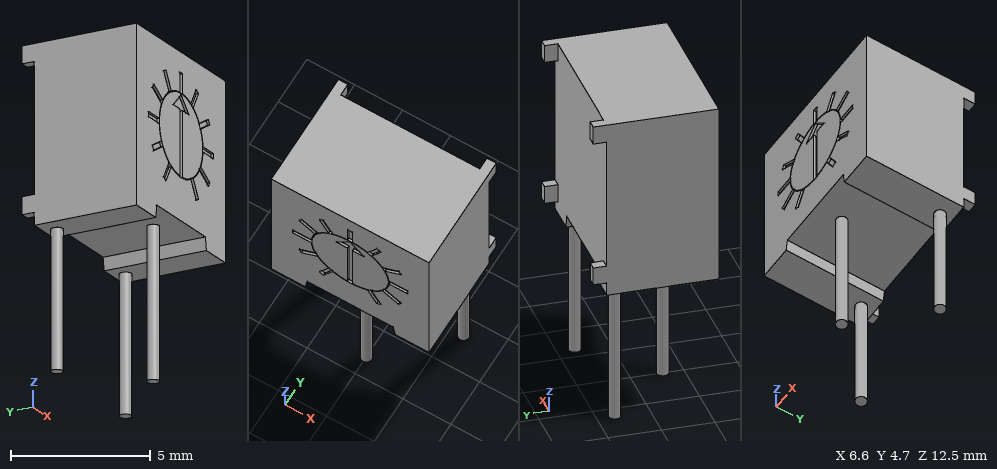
import cadquery as cq

BODY_WIDTH = 6.6
BODY_DEPTH = 4.2
BODY_HEIGHT = 7.0

NOTCH_HEIGHT = 0.5
NOTCH_BOTTOM_WIDTH = 3.75
NOTCH_TOP_WIDTH = 3.6

OVERALL_DEPTH = 4.7
TAB_LENGTH = OVERALL_DEPTH - BODY_DEPTH
TAB_WIDTH = 0.4
TAB_HEIGHT = 0.7
LOWER_TAB_BASE = 0.5

OVERALL_HEIGHT = 12.46
PIN_DIAMETER = 0.46
PIN_LENGTH = OVERALL_HEIGHT - BODY_HEIGHT
PIN_PITCH = 2.54
MIDDLE_PIN_Y = 1.14
OUTER_PIN_Y = MIDDLE_PIN_Y + PIN_PITCH
PIN_EMBED = 1.0

ROTOR_Z = 3.8
ROTOR_DIAMETER = 3.2
ROTOR_BORE_DIAMETER = 3.25
GAP_MIDDLE_RADIUS = (ROTOR_DIAMETER + ROTOR_BORE_DIAMETER) / 4
MARK_DEPTH = 0.1

ARROW_TIP = 1.55
ARROW_HEAD_BASE = 0.98
ARROW_HEAD_WIDTH = 1.16
ARROW_SHAFT_WIDTH = 0.2

TICK_STEP_ANGLE = 30
TICK_MAX_ANGLE = 150
TICK_OUTER_RADIUS = 2.4
TICK_WIDTH = 0.2


def face_plane():
    """Plane on the front face, centred on the rotor; extruding by a negative length goes inwards."""
    return cq.Workplane("XZ", origin=(0, 0, ROTOR_Z))


def make_housing():
    notch_bottom = NOTCH_BOTTOM_WIDTH / 2
    notch_top = NOTCH_TOP_WIDTH / 2
    outline = [
        (-BODY_WIDTH / 2, 0),
        (-notch_bottom, 0),
        (-notch_top, NOTCH_HEIGHT),
        (notch_top, NOTCH_HEIGHT),
        (notch_bottom, 0),
        (BODY_WIDTH / 2, 0),
        (BODY_WIDTH / 2, BODY_HEIGHT),
        (-BODY_WIDTH / 2, BODY_HEIGHT),
    ]
    return cq.Workplane("XZ").polyline(outline).close().extrude(-BODY_DEPTH)


def add_tabs(part):
    tab_x = (BODY_WIDTH - TAB_WIDTH) / 2
    for x in (-tab_x, tab_x):
        for base in (LOWER_TAB_BASE, BODY_HEIGHT - TAB_HEIGHT):
            tab = cq.Workplane("XY").box(TAB_WIDTH, TAB_LENGTH, TAB_HEIGHT, centered=(True, False, False))
            part = part.union(tab.translate((x, BODY_DEPTH, base)))
    return part


def add_pins(part):
    pin_places = [(-PIN_PITCH, OUTER_PIN_Y), (0, MIDDLE_PIN_Y), (PIN_PITCH, OUTER_PIN_Y)]
    pins = (
        cq.Workplane("XY", origin=(0, 0, -PIN_LENGTH))
        .pushPoints(pin_places)
        .circle(PIN_DIAMETER / 2)
        .extrude(PIN_LENGTH + NOTCH_HEIGHT + PIN_EMBED)
    )
    return part.union(pins)


def cut_rotor_gap(part):
    gap = face_plane().circle(ROTOR_BORE_DIAMETER / 2).circle(ROTOR_DIAMETER / 2).extrude(-MARK_DEPTH)
    return part.cut(gap)


def cut_arrow(part):
    half_head = ARROW_HEAD_WIDTH / 2
    half_shaft = ARROW_SHAFT_WIDTH / 2
    shaft_end = -GAP_MIDDLE_RADIUS
    outline = [
        (0, ARROW_TIP),
        (half_head, ARROW_HEAD_BASE),
        (half_shaft, ARROW_HEAD_BASE),
        (half_shaft, shaft_end),
        (-half_shaft, shaft_end),
        (-half_shaft, ARROW_HEAD_BASE),
        (-half_head, ARROW_HEAD_BASE),
    ]
    return part.cut(face_plane().polyline(outline).close().extrude(-MARK_DEPTH))


def cut_ticks(part):
    tick_length = TICK_OUTER_RADIUS - GAP_MIDDLE_RADIUS
    for angle in range(-TICK_MAX_ANGLE, TICK_MAX_ANGLE + 1, TICK_STEP_ANGLE):
        tick = (
            face_plane()
            .transformed(rotate=(0, 0, angle))
            .center(0, GAP_MIDDLE_RADIUS + tick_length / 2)
            .rect(TICK_WIDTH, tick_length)
            .extrude(-MARK_DEPTH)
        )
        part = part.cut(tick)
    return part


housing = add_pins(add_tabs(make_housing()))
result = cut_ticks(cut_arrow(cut_rotor_gap(housing)))